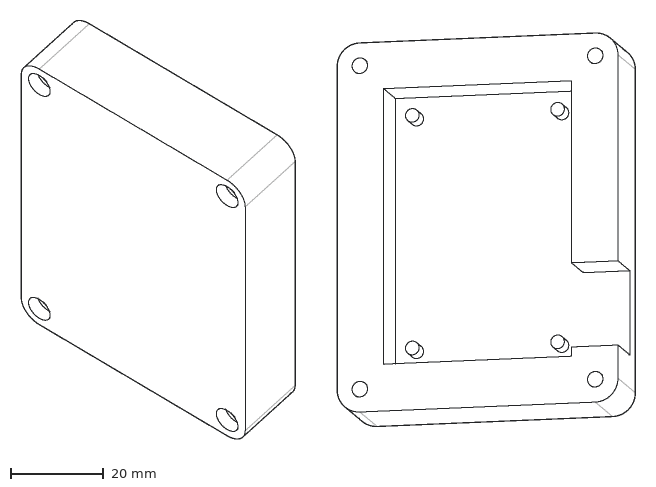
import cadquery as cq

width = 62.1
depth = 17.2
height = 81.1
corner_radius = 5.0

rim = 10.3
floor = 5.5

screw_diameter = 3.4
head_diameter = 6.0
head_depth = 3.0

window_bottom = 12.3
window_height = 18.5

pin_diameter = 3.0
pin_length = 4.4
pin_inset = 15.0


def box(size_x, size_y, size_z, centre_x, start_y, centre_z):
    """Box centred in X and Z that extends towards +Y from start_y."""
    solid = cq.Workplane("XY").box(size_x, size_y, size_z, centered=(True, False, True))
    return solid.translate((centre_x, start_y, centre_z))


def cylinders(inset, diameter, start_y, length):
    """Four cylinders along +Y, each inset equally from the two nearest sides."""
    return (
        cq.Workplane("XZ", origin=(0, start_y, 0))
        .rect(width - 2 * inset, height - 2 * inset, forConstruction=True)
        .vertices()
        .circle(diameter / 2)
        .extrude(-length)
    )


body = box(width, depth, height, 0, 0, 0).edges("|Y").fillet(corner_radius)

pocket_depth = depth - floor
pocket = box(width - 2 * rim, pocket_depth, height - 2 * rim, 0, floor, 0)

window_centre_x = (rim - width) / 2
window_centre_z = -height / 2 + window_bottom + window_height / 2
window = box(rim, pocket_depth, window_height, window_centre_x, floor, window_centre_z)

screw_holes = cylinders(corner_radius, screw_diameter, 0, depth)
head_recesses = cylinders(corner_radius, head_diameter, 0, head_depth)
pins = cylinders(pin_inset, pin_diameter, floor, pin_length)

result = body.cut(pocket).cut(window).cut(screw_holes).cut(head_recesses).union(pins)